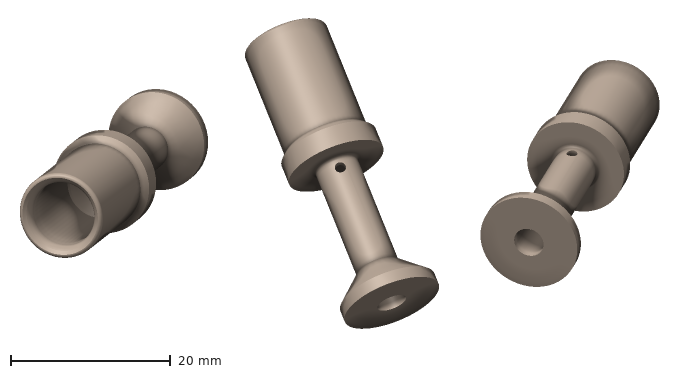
import cadquery as cq
import math

length = 38.43
flange_radius = 6.35
barrel_radius = 5.5
neck_radius = 2.8

flange_front = 14.87
flange_back = 18.45
neck_end = 33.35
head_rim_length = 1.55
flange_bevel = 0.9
neck_fillet = 0.42
rim_round = 0.5

mouth_radius = 5.0
lead_in_radius = 4.57
lead_in_start = 0.35
lead_in_end = 1.45
bore_radius = 4.1
bore_floor_bevel = 0.23
bore_depth = 15.0
drill_point_angle = 118.0

neck_bore_radius = 1.92
neck_bore_end = 19.02

cross_hole_radius = 0.7
cross_hole_station = 20.0


def turned(profile):
    """Revolve a closed (radius, station) profile about the Y axis."""
    return profile.close().revolve(360, (0, 0, 0), (0, 1, 0))


def make_body():
    diagonal = math.sqrt(0.5)
    rim_mid = (
        barrel_radius - rim_round * (1 - diagonal),
        rim_round * (1 - diagonal),
    )
    fillet_mid = (
        neck_radius + neck_fillet * (1 - diagonal),
        flange_back + neck_fillet * (1 - diagonal),
    )
    profile = (
        cq.Workplane("XY")
        .lineTo(barrel_radius - rim_round, 0)
        .threePointArc(rim_mid, (barrel_radius, rim_round))
        .lineTo(barrel_radius, flange_front)
        .lineTo(flange_radius, flange_front + flange_bevel)
        .lineTo(flange_radius, flange_back)
        .lineTo(neck_radius + neck_fillet, flange_back)
        .threePointArc(fillet_mid, (neck_radius, flange_back + neck_fillet))
        .lineTo(neck_radius, neck_end)
        .lineTo(flange_radius, length - head_rim_length)
        .lineTo(flange_radius, length)
        .lineTo(0, length)
    )
    return turned(profile)


def make_socket():
    floor_radius = bore_radius - bore_floor_bevel
    point_depth = floor_radius / math.tan(math.radians(drill_point_angle / 2))

    rise = lead_in_end - lead_in_start
    run = lead_in_radius - bore_radius
    arc_radius = (rise**2 + run**2) / (2 * run)
    half_angle = math.asin(rise / arc_radius) / 2
    lead_in_mid = (
        bore_radius + arc_radius * (1 - math.cos(half_angle)),
        lead_in_end - arc_radius * math.sin(half_angle),
    )
    profile = (
        cq.Workplane("XY")
        .lineTo(mouth_radius, 0)
        .lineTo(lead_in_radius, lead_in_start)
        .threePointArc(lead_in_mid, (bore_radius, lead_in_end))
        .lineTo(bore_radius, bore_depth - bore_floor_bevel)
        .lineTo(floor_radius, bore_depth)
        .lineTo(0, bore_depth + point_depth)
    )
    return turned(profile)


def make_neck_bore():
    profile = (
        cq.Workplane("XY")
        .moveTo(0, neck_bore_end)
        .lineTo(neck_bore_radius, neck_bore_end)
        .lineTo(neck_bore_radius, length)
        .lineTo(0, length)
    )
    return turned(profile)


def make_cross_hole():
    return (
        cq.Workplane("XY", origin=(0, cross_hole_station, 0))
        .circle(cross_hole_radius)
        .extrude(neck_radius)
    )


result = (
    make_body()
    .cut(make_socket())
    .cut(make_neck_bore())
    .cut(make_cross_hole())
    .translate((0, -length / 2, 0))
)